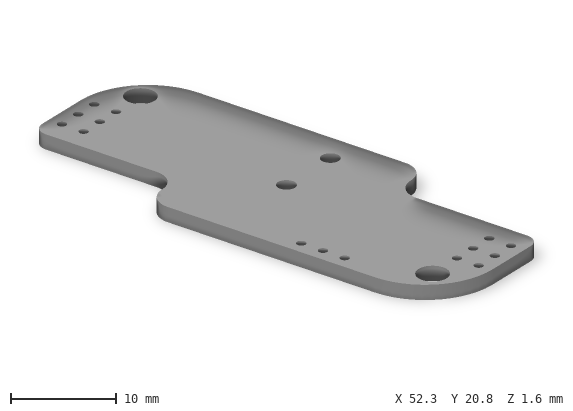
import cadquery as cq

length = 52.3
width = 20.8
thickness = 1.6
large_corner_radius = 7.95
small_corner_radius = 1.55
step_radius = 2.6
step_start_x = 11.5

pin_diameter = 1.0
pin_pitch = 2.55
pin_block_x = 23.35
pin_row_center = (10.95, -8.9)
mount_diameter = 3.3
mount_x = 22.15
mount_y = 6.55
center_diameter = 2.0
center_spacing = 6.95

half_length = length / 2
half_width = width / 2
narrow_y = half_width - 2 * step_radius
step_mid_x = step_start_x - step_radius
step_end_x = step_start_x - 2 * step_radius


def half_outline(sketch, sign):
    """Draw half the rim; the other half is the same turned by 180 degrees (sign -1)."""

    def at(x, y):
        return (sign * x, sign * y)

    return (
        sketch
        .lineTo(*at(step_end_x, half_width))
        .radiusArc(at(step_mid_x, half_width - step_radius), step_radius)
        .radiusArc(at(step_start_x, narrow_y), -step_radius)
        .lineTo(*at(half_length - small_corner_radius, narrow_y))
        .radiusArc(at(half_length, narrow_y - small_corner_radius), small_corner_radius)
        .lineTo(*at(half_length, large_corner_radius - half_width))
        .radiusArc(at(half_length - large_corner_radius, -half_width), large_corner_radius)
    )


def drill(plate, points, diameter):
    """Cut through holes at the given points, measured from the plate centre."""
    cutters = cq.Workplane("XY").pushPoints(points).circle(diameter / 2).extrude(thickness)
    return plate.cut(cutters)


outline = cq.Workplane("XY").moveTo(large_corner_radius - half_length, half_width)
outline = half_outline(outline, 1)
outline = half_outline(outline, -1)
plate = outline.close().extrude(thickness)

block_points = [
    (side * pin_block_x + column * pin_pitch, row * pin_pitch)
    for side in (-1, 1)
    for column in (-0.5, 0.5)
    for row in (-1, 0, 1)
]
plate = drill(plate, block_points, pin_diameter)

row_x, row_y = pin_row_center
row_points = [(row_x + i * pin_pitch, row_y) for i in (-1, 0, 1)]
plate = drill(plate, row_points, pin_diameter)

plate = drill(plate, [(-mount_x, mount_y), (mount_x, -mount_y)], mount_diameter)

plate = drill(plate, [(0, 0), (0, center_spacing)], center_diameter)

result = plate